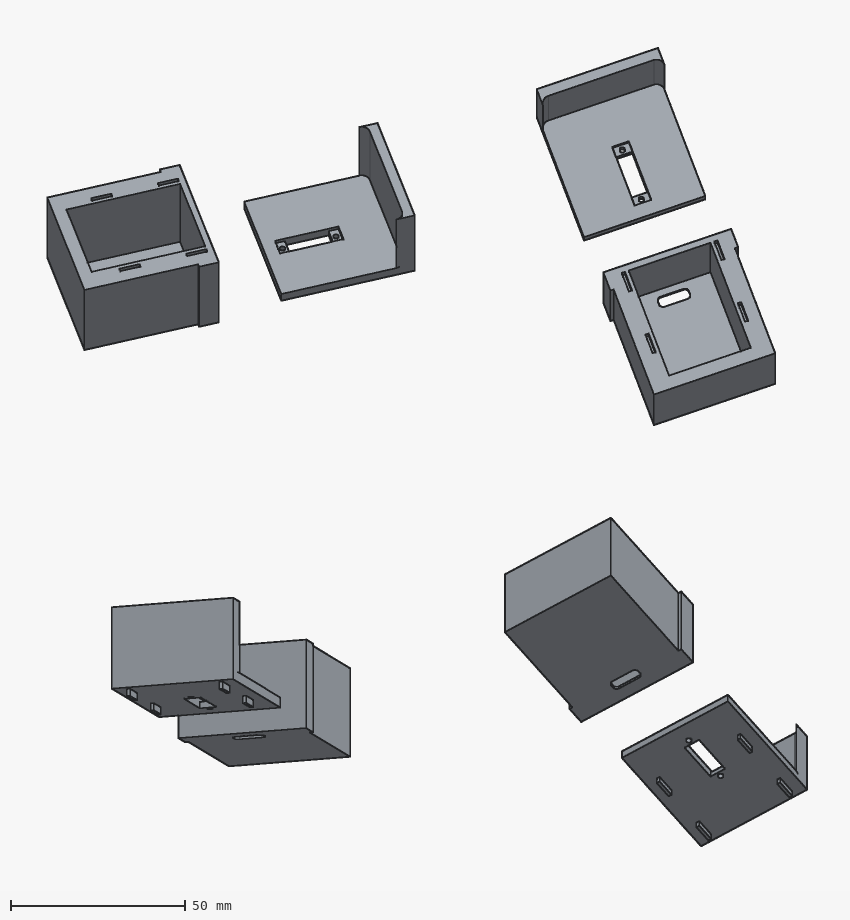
import cadquery as cq

total_length = 99.0
total_height = 26.0
body_width = 37.0
body_length = 40.0
lid_back = total_length
box_back = body_length

box_wall_back = 2.0
box_wall_front = 4.0
box_floor = 1.0
cavity_width = 24.9
cavity_length = body_length - box_wall_back - box_wall_front
lip_width = 39.0
lip_length = 5.9
port_width = 9.4
port_length = 3.3
port_corner_radius = 1.2
port_center_from_back = 5.7

tab_width = 1.0
tab_length = 6.0
tab_height = 2.1
tab_rows = 2
tab_spacing_x = 28.2
tab_spacing_y = 20.0
tab_from_back = 2.0

plate_thickness = 3.0
lid_wall = 3.1
lid_height = total_height - tab_height
wall_fillet = 2.5
window_width = 5.0
window_length = 13.1
recess_length = 19.0
recess_depth = 1.1
window_offset_x = 1.0
window_from_back = 26.3
screw_diameter = 1.6
screw_spacing = 16.0


def block(width, length, height, back, bottom, center_x=0):
    """Cuboid given by the Y of its back face and the Z of its bottom face."""
    return (
        cq.Workplane("XY")
        .box(width, length, height, centered=(True, False, False))
        .translate((center_x, back - length, bottom))
    )


def tab_blocks(body_back, bottom):
    """Four separate tab shapes, in two rows along Y."""
    blocks = []
    for center_x in (-tab_spacing_x / 2, tab_spacing_x / 2):
        for row in range(tab_rows):
            back = body_back - tab_from_back - row * tab_spacing_y
            blocks.append(block(tab_width, tab_length, tab_height, back, bottom, center_x))
    return blocks


def make_box():
    """Open-topped box with a wider lip at the back and a port in its floor."""
    box = block(body_width, body_length, total_height, box_back, 0)
    box = box.union(block(lip_width, lip_length, total_height, box_back, 0))

    cavity_depth = total_height - box_floor
    box = box.cut(block(cavity_width, cavity_length, cavity_depth, box_back - box_wall_back, box_floor))

    port_back = box_back - port_center_from_back + port_length / 2
    port = block(port_width, port_length, box_floor, port_back, 0)
    box = box.cut(port.edges("|Z").fillet(port_corner_radius))

    for slot in tab_blocks(box_back, total_height - tab_height):
        box = box.cut(slot)
    return box


def make_lid():
    """L-shaped lid: plate, back wall with rounded inner ends, window and tabs."""
    bottom = total_height - lid_height
    plate_top = bottom + plate_thickness
    lid = block(body_width, body_length, lid_height, lid_back, bottom)

    space_height = lid_height - plate_thickness
    space = block(body_width, body_length, space_height, lid_back - lid_wall, plate_top)
    lid = lid.cut(space.edges("|Z and >Y").fillet(wall_fillet))

    window_y = lid_back - window_from_back
    window_back = window_y + window_length / 2
    recess_back = window_y + recess_length / 2
    lid = lid.cut(block(window_width, window_length, plate_thickness, window_back, bottom, window_offset_x))
    lid = lid.cut(
        block(window_width, recess_length, recess_depth, recess_back, plate_top - recess_depth, window_offset_x)
    )
    screw_points = [(window_offset_x, window_y + side * screw_spacing / 2) for side in (-1, 1)]
    screws = (
        cq.Workplane("XY", origin=(0, 0, bottom))
        .pushPoints(screw_points)
        .circle(screw_diameter / 2)
        .extrude(plate_thickness)
    )
    lid = lid.cut(screws)

    for tab in tab_blocks(lid_back, 0):
        lid = lid.union(tab)
    return lid


box = make_box()
lid = make_lid()
result = cq.Compound.makeCompound([box.val(), lid.val()])